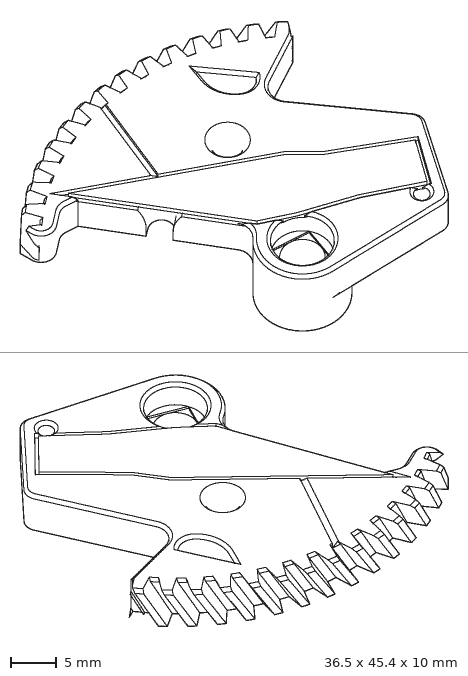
import cadquery as cq
import math

plate_thickness = 5.0
boss_height = 5.0
top_chamfer = 0.4

tip_radius = 31.0
root_radius = 28.9
tooth_count_full_circle = 60
gap_count = 15
first_gap_angle = 148.1
gap_tip_half_width = 1.15
gap_root_half_width = 0.57
tooth_twist = 5.2
stub_clearing_angle = 2.6
root_chamfer_width = 0.25
radial_margin = 0.9

corner_radius = 1.7
throat_radius = 2.1
hook_throat_radius = 1.6
pivot_fillet_radius = 2.0
top_left_corner = (-7.7, 20.75)
top_right_corner = (4.0, 16.75)
throat_corner = (-19.3, 7.0)
gear_start_angle = 149.1
gear_end_angle = 233.5
hook_wall_x = -18.2
hook_center = (-17.6, -22.75)
hook_radius = 1.73
hook_slope_angle = 43.0
hook_end_angle = -70.0

blade_thickness = 0.6
blade_clearance = 0.4
pocket_depth = 0.7
blade_heel = (-4.75, -2.85)
blade_tip = (-19.3, -18.08)
blade_outline = [
    (-4.9, 17.95),
    (0.7, 15.85),
    (-1.75, 8.65),
    (-3.35, 1.5),
    blade_heel,
    blade_tip,
    (-11.0, 4.75),
    (-8.65, 8.5),
]

pivot_radius = 5.45
pivot_chamfer = 0.55
pivot_hole_radius = 2.5
pivot_recess_radius = 3.5
pivot_recess_depth = 3.0
square_depth = 0.25

drum_center = (-16.12, 0.7)
drum_radius = 6.0
drum_chamfer = 0.5
drum_relief = 0.1
drum_relief_angle = 25.8

flare_hole_radius = 1.5
drum_flare_start = 2.5
drum_flare_radius = 2.23
drum_flare_chamfer = 0.25
notch_center = (-12.7, -10.17)
notch_length = 2.73
notch_angle = -43.7
notch_flare_start = 1.45
notch_flare_radius = 2.45

small_hole_center = (1.6, 14.6)
small_hole_radius = 0.9
window_center = (-24.75, 7.2)
window_radius = 4.0
window_small_radius = 2.0
window_blend_angle = -22.4
window_top_angle = 66.0
window_left_x = -26.3
mark_start = (-28.6, -7.7)
mark_end = (-15.9, -8.35)
mark_width = 0.75
mark_depth = 0.4


def polar(radius, angle):
    return (radius * math.cos(math.radians(angle)), radius * math.sin(math.radians(angle)))


def shifted(point, distance, angle):
    """Point at a distance and direction from another point."""
    step_x, step_y = polar(distance, angle)
    return (point[0] + step_x, point[1] + step_y)


def vertical_edge(body, point):
    """Select the vertical edge of the body nearest to a point in the XY plane."""
    return body.edges("|Z").edges(cq.NearestToPointSelector((point[0], point[1], plate_thickness / 2)))


def make_pivot_boss():
    return (
        cq.Workplane("XY", origin=(0, 0, -boss_height)).circle(pivot_radius)
        .extrude(boss_height + plate_thickness)
        .faces("<Z").edges().chamfer(pivot_chamfer)
    )


def make_plate_blank():
    """Plate with rounded corners, joined to the pivot boss, with a chamfered top edge."""
    edge_x = blade_heel[0] - blade_tip[0]
    edge_y = blade_heel[1] - blade_tip[1]
    edge_length = math.hypot(edge_x, edge_y)
    along = (edge_x / edge_length, edge_y / edge_length)
    side_start = (blade_tip[0] + blade_clearance * along[1], blade_tip[1] - blade_clearance * along[0])
    hook_corner = (hook_wall_x, side_start[1] + (hook_wall_x - side_start[0]) * along[1] / along[0])
    foot = side_start[0] * along[0] + side_start[1] * along[1]
    offset = side_start[0] * along[1] - side_start[1] * along[0]
    reach = -foot - math.sqrt(pivot_radius**2 - offset**2)
    pivot_corner = (side_start[0] + reach * along[0], side_start[1] + reach * along[1])

    corner_angle = math.degrees(math.atan2(top_right_corner[1], top_right_corner[0]))
    corner_distance = math.hypot(*top_right_corner)
    tangent_angle = corner_angle - math.degrees(math.acos(pivot_radius / corner_distance))

    hook_start = shifted(hook_center, hook_radius, 90 - hook_slope_angle)
    hook_end = shifted(hook_center, hook_radius, hook_end_angle)
    slope = math.tan(math.radians(hook_slope_angle))
    hook_throat = (hook_wall_x, hook_start[1] + (hook_start[0] - hook_wall_x) * slope)

    outline = (
        cq.Workplane("XY")
        .moveTo(*polar(pivot_radius, tangent_angle))
        .lineTo(*top_right_corner)
        .lineTo(*top_left_corner)
        .lineTo(*throat_corner)
        .lineTo(*polar(root_radius, gear_start_angle))
        .lineTo(*polar(tip_radius, gear_start_angle))
        .threePointArc(
            polar(tip_radius, (gear_start_angle + gear_end_angle) / 2),
            polar(tip_radius, gear_end_angle),
        )
        .lineTo(*hook_end)
        .threePointArc((hook_center[0] + hook_radius, hook_center[1]), hook_start)
        .lineTo(*hook_throat)
        .lineTo(*hook_corner)
        .lineTo(*pivot_corner)
        .lineTo(0, 0)
        .close()
    )
    blank = outline.extrude(plate_thickness).union(make_pivot_boss())
    for point, radius in (
        (top_right_corner, corner_radius),
        (top_left_corner, corner_radius),
        (throat_corner, throat_radius),
        (hook_throat, hook_throat_radius),
        (pivot_corner, pivot_fillet_radius),
    ):
        blank = vertical_edge(blank, point).fillet(radius)
    return blank.faces(">Z").edges().chamfer(top_chamfer)


def make_gear_gaps():
    """Helical tooth gaps; their floor is the root cylinder, chamfered at the top."""
    pitch = 360 / tooth_count_full_circle
    slope = (gap_tip_half_width - gap_root_half_width) / (tip_radius - root_radius)
    inner = root_radius - radial_margin
    outer = tip_radius + radial_margin
    inner_half = gap_root_half_width - slope * radial_margin
    outer_half = gap_tip_half_width + slope * radial_margin
    chamfer_start = plate_thickness - top_chamfer
    root_core = (
        cq.Workplane("XZ")
        .polyline([
            (0, 0),
            (root_radius, 0),
            (root_radius, chamfer_start),
            (root_radius - root_chamfer_width, plate_thickness),
            (0, plate_thickness),
        ])
        .close()
        .revolve(360, (0, 0, 0), (0, 1, 0))
    )
    gap = (
        cq.Workplane("XY")
        .polyline([(inner, -inner_half), (outer, -outer_half), (outer, outer_half), (inner, inner_half)])
        .close()
        .twistExtrude(plate_thickness, -tooth_twist)
        .cut(root_core)
    )
    angles = [first_gap_angle - stub_clearing_angle]
    angles += [first_gap_angle + index * pitch for index in range(gap_count)]
    return [gap.rotate((0, 0, 0), (0, 0, 1), angle + tooth_twist) for angle in angles]


def make_blade_profile(clearance):
    profile = cq.Workplane("XY").polyline(blade_outline).close()
    if clearance > 0:
        profile = profile.offset2D(clearance, "intersection")
    return profile


def make_countersink(center, top_radius, depth):
    """Cone that chamfers the rim of a hole at the top face."""
    return cq.Workplane(
        cq.Solid.makeCone(
            top_radius - depth, top_radius, depth,
            pnt=cq.Vector(center[0], center[1], plate_thickness - depth),
        )
    )


def flare_profile(plane, flare_start, flare_radius, flare_top):
    """Half profile of a straight hole that widens along an arc tangent to its wall."""
    widening = flare_radius - flare_hole_radius
    rise = flare_top - flare_start
    arc_radius = (widening**2 + rise**2) / (2 * widening)
    half_angle = math.atan2(rise, arc_radius - widening) / 2
    middle = (
        flare_hole_radius + arc_radius * (1 - math.cos(half_angle)),
        flare_start + arc_radius * math.sin(half_angle),
    )
    return (
        cq.Workplane(plane)
        .moveTo(0, -boss_height)
        .lineTo(flare_hole_radius, -boss_height)
        .lineTo(flare_hole_radius, flare_start)
        .threePointArc(middle, (flare_radius, flare_top))
        .lineTo(0, flare_top)
        .close()
    )


def make_drum_hole():
    flare_top = plate_thickness - drum_flare_chamfer
    profile = flare_profile("XZ", drum_flare_start, drum_flare_radius, flare_top)
    hole = profile.revolve(360, (0, 0, 0), (0, 1, 0)).translate((*drum_center, 0))
    return hole.union(make_countersink(drum_center, drum_flare_radius + drum_flare_chamfer, drum_flare_chamfer))


def make_notch():
    """Flared round-ended slot that opens through the cutting side, below the blade."""
    pocket_floor = plate_thickness - pocket_depth
    profile_sizes = (notch_flare_start, notch_flare_radius, pocket_floor)
    end = flare_profile("YZ", *profile_sizes).revolve(180, (0, 0, 0), (0, 1, 0))
    half_slot = flare_profile("YZ", *profile_sizes).extrude(notch_length)
    notch = end.union(half_slot).union(half_slot.mirror("XZ"))
    return notch.rotate((0, 0, 0), (0, 0, 1), notch_angle).translate((*notch_center, 0))


def make_drum():
    """Round boss under the plate, with a shallow relief around half of it."""
    drum = (
        cq.Workplane("XY").circle(drum_radius).extrude(-boss_height)
        .faces("<Z").edges().chamfer(drum_chamfer)
    )
    relief = (
        cq.Workplane("XY").circle(drum_radius).circle(drum_radius - drum_relief).extrude(-boss_height)
        .cut(cq.Workplane("XY").box(4 * drum_radius, 2 * drum_radius, 2 * boss_height)
             .translate((0, drum_radius, 0)))
        .rotate((0, 0, 0), (0, 0, 1), drum_relief_angle)
    )
    return drum.cut(relief).translate((*drum_center, 0))


def make_pivot_bore():
    """Through hole below a round recess, with a shallow square step between them."""
    recess_floor = plate_thickness - pivot_recess_depth
    bore = cq.Workplane("XY", origin=(0, 0, -boss_height)).circle(pivot_hole_radius)
    bore = bore.extrude(boss_height + plate_thickness)
    recess = cq.Workplane("XY", origin=(0, 0, recess_floor)).circle(pivot_recess_radius)
    bore = bore.union(recess.extrude(pivot_recess_depth))
    square = cq.Workplane("XY", origin=(0, 0, recess_floor)).rect(2 * pivot_hole_radius, 2 * pivot_hole_radius)
    bore = bore.union(square.extrude(-square_depth))
    return bore.union(make_countersink((0, 0), pivot_recess_radius + top_chamfer, top_chamfer))


def make_window():
    """D-shaped window: a slanted straight side, a level side and a round side."""
    bottom = window_center[1] - window_radius
    small_center = shifted(window_center, window_radius - window_small_radius, window_blend_angle)
    small_middle_angle = (window_blend_angle + window_top_angle) / 2
    profile = (
        cq.Workplane("XY")
        .moveTo(window_left_x, bottom)
        .lineTo(window_center[0], bottom)
        .threePointArc(
            shifted(window_center, window_radius, (window_blend_angle - 90) / 2),
            shifted(window_center, window_radius, window_blend_angle),
        )
        .threePointArc(
            shifted(small_center, window_small_radius, small_middle_angle),
            shifted(small_center, window_small_radius, window_top_angle),
        )
        .close()
    )
    window = profile.extrude(plate_thickness)
    flare = (
        profile.wires().toPending().offset2D(top_chamfer, "intersection")
        .extrude(-top_chamfer, taper=45).translate((0, 0, plate_thickness))
    )
    return window.union(flare)


def make_index_mark():
    """Groove with an upright +Y wall and a floor that ramps up towards -Y."""
    run_x = mark_end[0] - mark_start[0]
    run_y = mark_end[1] - mark_start[1]
    length = math.hypot(run_x, run_y)
    return (
        cq.Workplane("YZ")
        .polyline([(0, 0), (0, -mark_depth), (-mark_width, 0)])
        .close()
        .extrude(length)
        .rotate((0, 0, 0), (0, 0, 1), math.degrees(math.atan2(run_y, run_x)))
        .translate((mark_start[0], mark_start[1], plate_thickness))
    )


def make_holder():
    holder = make_plate_blank()
    for gap in make_gear_gaps():
        holder = holder.cut(gap)
    holder = holder.union(make_drum())
    pocket_floor = plate_thickness - pocket_depth
    pocket = make_blade_profile(blade_clearance).extrude(pocket_depth).translate((0, 0, pocket_floor))
    small_hole = (
        cq.Workplane("XY").center(*small_hole_center).circle(small_hole_radius).extrude(plate_thickness)
    )
    cutters = [
        make_index_mark(),
        make_pivot_bore(),
        make_window(),
        make_drum_hole(),
        small_hole,
        make_countersink(small_hole_center, small_hole_radius + top_chamfer, top_chamfer),
        make_notch(),
        pocket,
    ]
    for cutter in cutters:
        holder = holder.cut(cutter)
    return holder


def make_blade():
    blade_bottom = plate_thickness - blade_thickness
    blade = make_blade_profile(0).extrude(blade_thickness)
    return blade.translate((0, 0, blade_bottom))


holder = make_holder()
blade = make_blade()
result = cq.Compound.makeCompound([holder.val(), blade.val()])